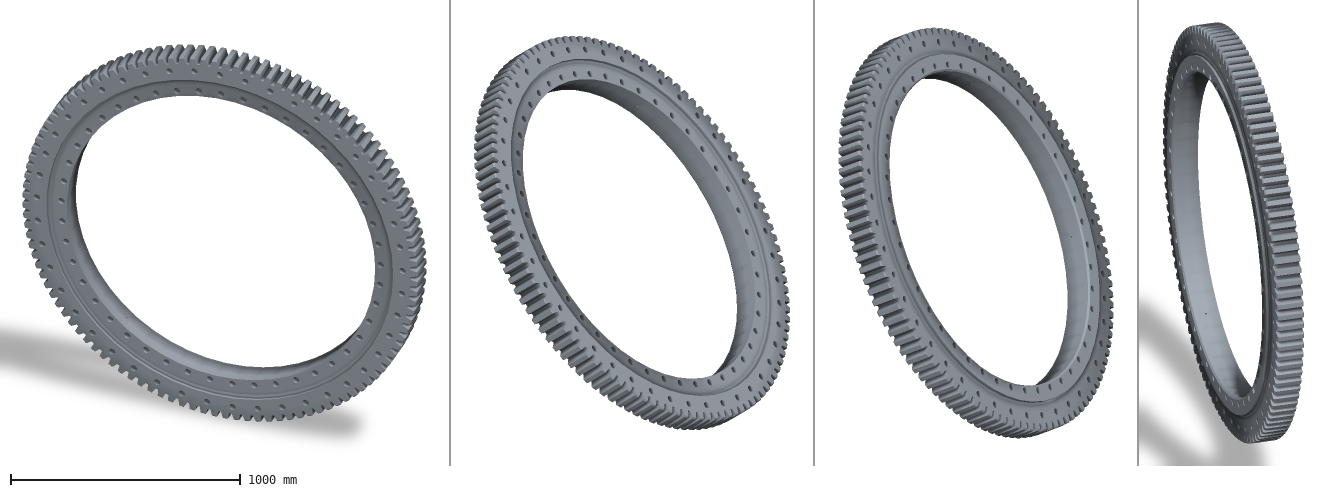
import cadquery as cq
import math


TOTAL_WIDTH = 135.0
RING_STEP = 17.0
RING_WIDTH = TOTAL_WIDTH - RING_STEP
GEAR_FRONT = -TOTAL_WIDTH / 2
GEAR_BACK = GEAR_FRONT + RING_WIDTH
INNER_FRONT = GEAR_FRONT + RING_STEP
INNER_BACK = INNER_FRONT + RING_WIDTH
INNER_MIDDLE = (INNER_FRONT + INNER_BACK) / 2

TIP_RADIUS = 918.0
ROOT_RADIUS = 885.0
GEAR_BORE_RADIUS = 805.0
INNER_OUTER_RADIUS = 791.0
INNER_BORE_RADIUS = 715.0

TOOTH_COUNT = 112
TIP_GAP_SHARE = 0.6
ROOT_GAP_SHARE = 0.26
TIP_CHAMFER = 5.0

BORE_CHAMFER = 7.0

BOLT_COUNT = 45
BOLT_HOLE_DIAMETER = 30.0
GEAR_BOLT_CIRCLE_RADIUS = 850.0
INNER_BOLT_CIRCLE_RADIUS = 742.0

GREASE_COUNT = 5
GREASE_DIAMETER = 7.0
GREASE_START_ANGLE = 90 - 360 / BOLT_COUNT / 2

SEAL_DEPTH = 10.0
SEAL_HEIGHT = 4.0
SEAL_FLAT = 7.0
LIP_OVERLAP = 2.0


def revolved(profile):
    """The solid that a closed profile of (radius, Y) points sweeps about the Y axis."""
    return cq.Workplane("XY").polyline(profile).close().revolve(360, (0, 0, 0), (0, 1, 0))


def ring_point(radius, angle):
    """A point of the ring plane at a radius and an angle in radians."""
    return radius * math.cos(angle), radius * math.sin(angle)


def bolt_holes(circle_radius, front):
    """Cutters for a full circle of bolt holes through one ring, the first straight above the axis."""
    return (
        cq.Workplane("XZ", origin=(0, front, 0))
        .polarArray(circle_radius, 90, 360, BOLT_COUNT)
        .circle(BOLT_HOLE_DIAMETER / 2)
        .extrude(-RING_WIDTH)
    )


def toothed_disc():
    """A disc with all the teeth, the middle of one tooth gap lying on the X axis."""
    pitch = 2 * math.pi / TOOTH_COUNT
    tip_half_gap = pitch * TIP_GAP_SHARE / 2
    root_half_gap = pitch * ROOT_GAP_SHARE / 2
    outline = cq.Workplane("XZ", origin=(0, GEAR_FRONT, 0)).moveTo(*ring_point(ROOT_RADIUS, -root_half_gap))
    for tooth in range(TOOTH_COUNT):
        gap_middle = tooth * pitch
        next_gap_middle = gap_middle + pitch
        outline = outline.lineTo(*ring_point(ROOT_RADIUS, gap_middle + root_half_gap))
        outline = outline.lineTo(*ring_point(TIP_RADIUS, gap_middle + tip_half_gap))
        outline = outline.threePointArc(
            ring_point(TIP_RADIUS, gap_middle + pitch / 2),
            ring_point(TIP_RADIUS, next_gap_middle - tip_half_gap),
        )
        if tooth < TOOTH_COUNT - 1:
            outline = outline.lineTo(*ring_point(ROOT_RADIUS, next_gap_middle - root_half_gap))
    return outline.close().extrude(-RING_WIDTH)


def make_gear_ring():
    """The outer ring: teeth with both tip ends chamfered, a plain bore and bolt holes."""
    chamfered_radius = TIP_RADIUS - TIP_CHAMFER
    envelope = revolved(
        [
            (GEAR_BORE_RADIUS, GEAR_FRONT),
            (chamfered_radius, GEAR_FRONT),
            (TIP_RADIUS, GEAR_FRONT + TIP_CHAMFER),
            (TIP_RADIUS, GEAR_BACK - TIP_CHAMFER),
            (chamfered_radius, GEAR_BACK),
            (GEAR_BORE_RADIUS, GEAR_BACK),
        ]
    )
    ring = toothed_disc().intersect(envelope)
    return ring.cut(bolt_holes(GEAR_BOLT_CIRCLE_RADIUS, GEAR_FRONT))


def grease_hole(angle):
    """Cutter for one radial hole from the axis out through the inner ring, at an angle above +X."""
    return (
        cq.Workplane("YZ", origin=(0, INNER_MIDDLE, 0))
        .circle(GREASE_DIAMETER / 2)
        .extrude(GEAR_BORE_RADIUS)
        .rotate((0, 0, 0), (0, 1, 0), -angle)
    )


def make_inner_ring():
    """The inner ring: bore chamfered at the back, bolt holes and radial grease holes."""
    ring = revolved(
        [
            (INNER_BORE_RADIUS, INNER_FRONT),
            (INNER_OUTER_RADIUS, INNER_FRONT),
            (INNER_OUTER_RADIUS, INNER_BACK),
            (INNER_BORE_RADIUS + BORE_CHAMFER, INNER_BACK),
            (INNER_BORE_RADIUS, INNER_BACK - BORE_CHAMFER),
        ]
    )
    ring = ring.cut(bolt_holes(INNER_BOLT_CIRCLE_RADIUS, INNER_FRONT))
    for number in range(GREASE_COUNT):
        ring = ring.cut(grease_hole(GREASE_START_ANGLE + number * 360 / GREASE_COUNT))
    return ring


def make_seal(held_radius, lip_ring_radius, face, outward):
    """A seal held by one ring, its lip lying on the end face of the other ring.

    `face` is the Y position of that end face and `outward` is -1 at the front, +1 at the back.
    """
    across = math.copysign(1, lip_ring_radius - held_radius)
    inside = face - outward * SEAL_DEPTH
    top = face + outward * SEAL_HEIGHT
    return revolved(
        [
            (held_radius, inside),
            (held_radius, top),
            (held_radius + across * SEAL_FLAT, top),
            (lip_ring_radius + across * LIP_OVERLAP, face),
            (lip_ring_radius, face),
            (lip_ring_radius, inside),
        ]
    )


gear_ring = make_gear_ring()
inner_ring = make_inner_ring()
front_seal = make_seal(GEAR_BORE_RADIUS, INNER_OUTER_RADIUS, INNER_FRONT, -1)
back_seal = make_seal(INNER_OUTER_RADIUS, GEAR_BORE_RADIUS, GEAR_BACK, 1)

result = cq.Compound.makeCompound([gear_ring.val(), inner_ring.val(), front_seal.val(), back_seal.val()])